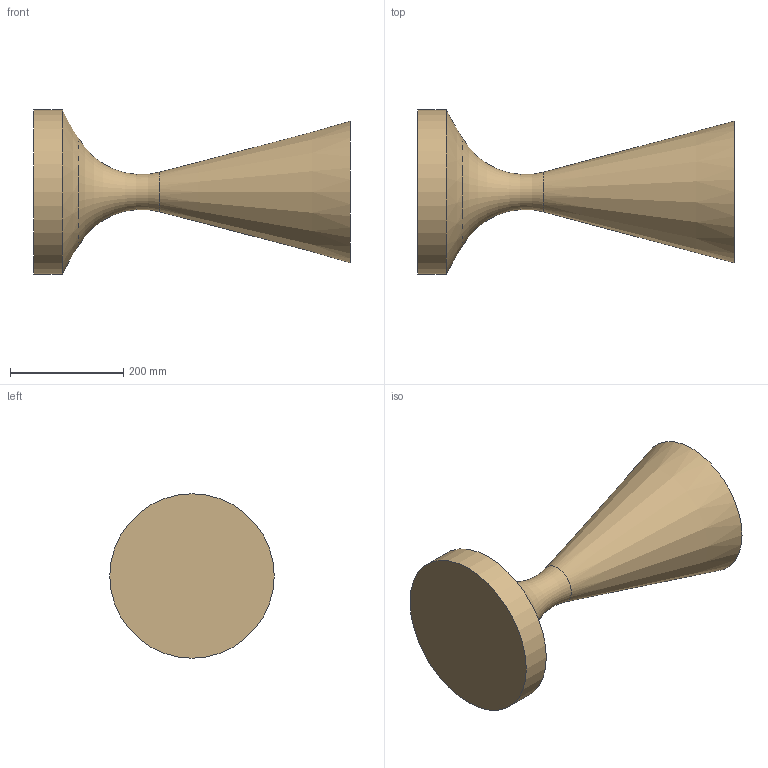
import cadquery as cq
import math

overall_length = 558.11
flange_diameter = 290.0
flange_thickness = 50.0
horn_start_diameter = 70.0
horn_end_diameter = 250.0
horn_half_angle = math.radians(15)
throat_radius = 127.0
throat_entry_angle = math.radians(60)
flare_sag = 0.6

flange_radius = flange_diameter / 2
horn_start_radius = horn_start_diameter / 2
horn_end_radius = horn_end_diameter / 2

horn_length = (horn_end_radius - horn_start_radius) / math.tan(horn_half_angle)
horn_start_x = overall_length - horn_length
throat_center_x = horn_start_x - throat_radius * math.sin(horn_half_angle)
throat_center_r = horn_start_radius + throat_radius * math.cos(horn_half_angle)


def throat_point(angle):
    """Point on the throat arc; positive angles lie on the flange side of the neck."""
    return (
        throat_center_x - throat_radius * math.sin(angle),
        throat_center_r - throat_radius * math.cos(angle),
    )


def flare_midpoint():
    """Middle of the shallow concave arc joining the flange rim to the throat."""
    end_x, end_r = throat_point(throat_entry_angle)
    run = end_x - flange_thickness
    drop = flange_radius - end_r
    chord = math.hypot(run, drop)
    return (
        flange_thickness + run / 2 - flare_sag * drop / chord,
        flange_radius - drop / 2 - flare_sag * run / chord,
    )


def build_profile():
    """Half section from the axis: flange, flare, throat, then horn."""
    return (
        cq.Workplane("XY")
        .lineTo(0, flange_radius)
        .lineTo(flange_thickness, flange_radius)
        .threePointArc(flare_midpoint(), throat_point(throat_entry_angle))
        .threePointArc(throat_point(0), throat_point(-horn_half_angle))
        .lineTo(overall_length, horn_end_radius)
        .lineTo(overall_length, 0)
        .close()
    )


result = build_profile().revolve(360, (0, 0, 0), (1, 0, 0))